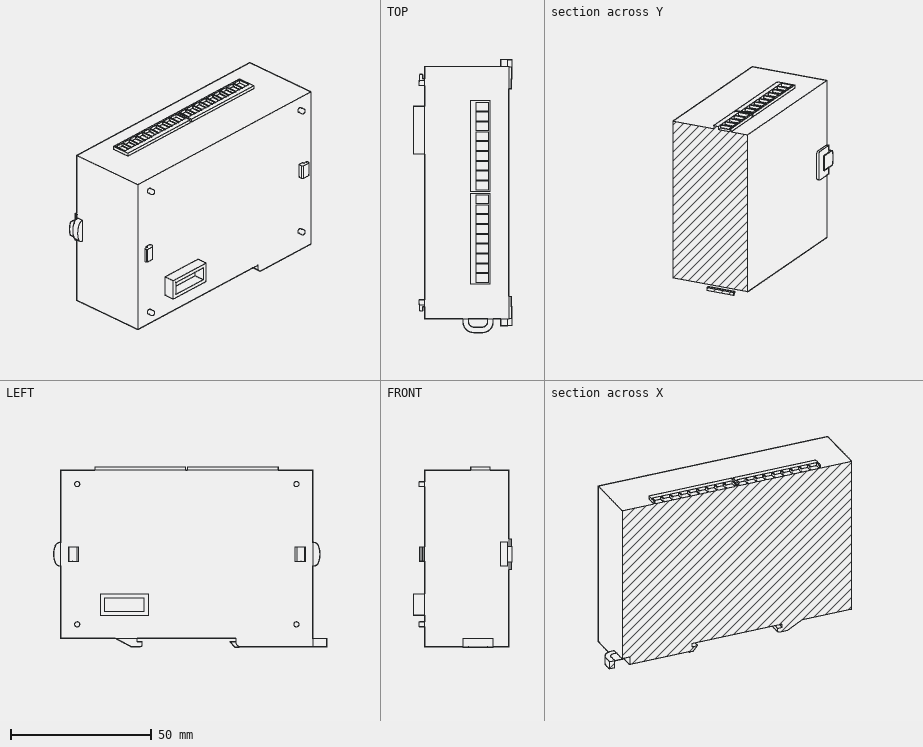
import cadquery as cq


body_x = 30.0
body_y = 89.9
body_z = 59.9
mid_y = body_y / 2
mid_z = body_z / 2
foot_length = 27.5
foot_drop = 3.0
foot_chamfer = 1.1

block_x = 16.4
block_width = 7.0
block_length = 32.35
block_height = 1.2
block_gap = 0.7
block_start = 12.4
cell_count = 9
cell_pitch = 3.5
cell_width = 4.4
cell_length = 3.1
cell_wall_x = 0.7

port_y = 58.7
port_z = 8.2
port_length = 17.15
port_height = 7.6
port_reach = 4.0
port_cavity_length = 14.1
port_cavity_height = 4.9

peg_diameter = 1.9
peg_reach = 2.0
peg_round = 0.4
peg_spacing_y = 78.1
peg_spacing_z = 50.0

clip_tip_y = 2.7
clip_length = 3.6
clip_leg = 2.0
clip_reach = 1.9
clip_gap = 0.6
clip_height = 5.2
clip_bevel = 0.6
clip_tip_bevel = 0.3

latch_reach = 2.5
latch_half_height = 4.3
latch_bulge = 0.6
latch_shoulder_half = 3.0
latch_x = 27.1
latch_width = 2.4
tongue_half_height = 2.8
tongue_reach_x = 1.2
tongue_length = 4.4
tongue_setback = 0.05
tongue_round = 0.5
slide_thickness = 0.9
slide_start = 0.2
slide_end = 8.0
slide_height = 10.9
slide_round = 0.9

eyelet_x = 13.6
eyelet_width = 10.8
eyelet_reach = 5.0
eyelet_radius = 3.9
eyelet_wall = 2.0
hook_lip_z = -1.2
fixed_hook_reach = 2.1
fixed_hook_drop = 3.2
fixed_hook_toe = 0.4
fixed_hook_sole = 1.5
sprung_hook_tip_y = 60.9
sprung_hook_neck_y = 62.7
sprung_hook_sole_y = 64.8
sprung_hook_root_y = 70.5
sprung_hook_round = 0.7

overlap = 0.5


def box(x0, x1, y0, y1, z0, z1):
    """Block given by its limits along each axis."""
    return cq.Workplane("XY").box(x1 - x0, y1 - y0, z1 - z0, centered=False).translate((x0, y0, z0))


def both_ends(feature):
    """The front feature together with its mirror image at the back."""
    return [feature, feature.mirror("XZ", (0, mid_y, 0))]


def make_housing():
    outline = [
        (0, body_z),
        (body_y, body_z),
        (body_y, 0),
        (foot_length, 0),
        (foot_length, foot_chamfer - foot_drop),
        (foot_length - foot_chamfer, -foot_drop),
        (0, -foot_drop),
    ]
    return cq.Workplane("YZ").polyline(outline).close().extrude(body_x)


def make_terminal_block(y0):
    """Raised strip whose row of cells is open down to the housing top."""
    block_end_x = block_x + block_width
    top = body_z + block_height
    block = box(block_x, block_end_x, y0, y0 + block_length, body_z, top)
    cells_y = y0 + (block_length - (cell_count - 1) * cell_pitch - cell_length) / 2
    cell_end_x = block_end_x - cell_wall_x
    for index in range(cell_count):
        cell_y = cells_y + index * cell_pitch
        cell = box(cell_end_x - cell_width, cell_end_x, cell_y, cell_y + cell_length, body_z, top)
        block = block.cut(cell)
    return block


def make_port():
    """Rectangular frame whose opening runs in to the housing wall."""
    shell = box(-port_reach, 0, port_y, port_y + port_length, port_z, port_z + port_height)
    opening = shell.faces("<X").workplane(centerOption="CenterOfMass")
    return opening.rect(port_cavity_length, port_cavity_height).cutBlind(-port_reach)


def make_pegs():
    pegs = (
        cq.Workplane("YZ", origin=(0, mid_y, mid_z))
        .rect(peg_spacing_y, peg_spacing_z, forConstruction=True)
        .vertices()
        .circle(peg_diameter / 2)
        .extrude(-peg_reach)
    )
    return pegs.faces("<X").edges().fillet(peg_round)


def make_clip():
    """L-shaped clip: a leg on the wall with a finger pointing to the nearer end wall."""
    inner_y = clip_tip_y + clip_length
    leg_y = inner_y - clip_leg
    outline = [
        (0, inner_y),
        (clip_bevel - clip_reach, inner_y),
        (-clip_reach, inner_y - clip_bevel),
        (-clip_reach, clip_tip_y + clip_tip_bevel),
        (clip_tip_bevel - clip_reach, clip_tip_y),
        (-clip_gap - clip_tip_bevel, clip_tip_y),
        (-clip_gap, clip_tip_y + clip_tip_bevel),
        (-clip_gap, leg_y),
        (0, leg_y),
    ]
    base = cq.Workplane("XY", origin=(0, 0, mid_z - clip_height / 2))
    return base.polyline(outline).close().extrude(clip_height)


def make_latch():
    """Rounded thumb pad on the end wall, with a tongue and a slide plate over the +X wall."""
    shoulder_y = latch_bulge - latch_reach
    bulge_radius = (latch_shoulder_half**2 + latch_bulge**2) / (2 * latch_bulge)
    tongue_end_x = body_x + tongue_reach_x
    upper_half = (
        cq.Workplane("YZ", origin=(latch_x, 0, mid_z))
        .moveTo(overlap, 0)
        .lineTo(-latch_reach, 0)
        .radiusArc((shoulder_y, latch_shoulder_half), bulge_radius)
        .tangentArcPoint((0, latch_half_height), relative=False)
        .lineTo(overlap, latch_half_height)
        .close()
        .extrude(tongue_end_x - latch_x)
    )
    full_pad = upper_half.union(upper_half.mirror("XY", (0, 0, mid_z))).clean()
    pad_end_x = latch_x + latch_width
    tongue_z0 = mid_z - tongue_half_height
    tongue_z1 = mid_z + tongue_half_height
    pad = full_pad.intersect(box(latch_x, pad_end_x, -latch_reach, overlap, 0, body_z))
    tongue_blank = box(pad_end_x, tongue_end_x, -latch_reach, overlap, tongue_z0, tongue_z1)
    tongue_tip = full_pad.translate((0, tongue_setback, 0)).intersect(tongue_blank)
    tip_corners = cq.selectors.BoxSelector(
        (pad_end_x, -latch_reach, tongue_z0 - overlap),
        (tongue_end_x, -overlap, tongue_z1 + overlap),
    )
    tongue_tip = tongue_tip.edges("|X").edges(tip_corners).fillet(tongue_round)
    tongue = box(body_x, tongue_end_x, 0, tongue_length, tongue_z0, tongue_z1)
    slide = box(
        body_x,
        body_x + slide_thickness,
        slide_start,
        slide_end,
        mid_z - slide_height / 2,
        mid_z + slide_height / 2,
    )
    slide = slide.faces(">Y").edges("|X").fillet(slide_round)
    return pad.union(tongue_tip).union(tongue).union(slide)


def make_eyelet():
    loop = box(eyelet_x, eyelet_x + eyelet_width, -eyelet_reach, overlap, -foot_drop, 0)
    return loop.faces("<Y").edges("|Z").fillet(eyelet_radius)


def make_eyelet_opening():
    """Opening of the eyelet, continued by the same length into the rail foot."""
    opening_length = eyelet_reach - eyelet_wall
    opening = box(
        eyelet_x + eyelet_wall,
        eyelet_x + eyelet_width - eyelet_wall,
        -opening_length,
        opening_length,
        -foot_drop,
        0,
    )
    return opening.faces("<Y").edges("|Z").fillet(eyelet_radius - eyelet_wall)


def make_fixed_hook():
    """Slanted claw standing out from the step of the rail foot."""
    toe_y = foot_length + fixed_hook_toe
    heel_y = toe_y - fixed_hook_sole
    outline = [
        (foot_length + fixed_hook_reach, hook_lip_z),
        (toe_y, -fixed_hook_drop),
        (heel_y, -fixed_hook_drop),
        (heel_y, hook_lip_z),
    ]
    base = cq.Workplane("YZ", origin=(eyelet_x, 0, 0))
    return base.polyline(outline).close().extrude(eyelet_width)


def make_sprung_hook():
    """Ramped claw under the housing, facing the fixed hook."""
    outline = [
        (sprung_hook_root_y, 0),
        (sprung_hook_sole_y, -foot_drop),
        (sprung_hook_tip_y, -foot_drop),
        (sprung_hook_tip_y, hook_lip_z),
        (sprung_hook_neck_y, hook_lip_z),
        (sprung_hook_neck_y, 0),
    ]
    hook = cq.Workplane("YZ", origin=(eyelet_x, 0, 0)).polyline(outline).close().extrude(eyelet_width)
    return hook.edges("|X and <Y and <Z").fillet(sprung_hook_round)


features = [
    make_terminal_block(block_start),
    make_terminal_block(block_start + block_length + block_gap),
    make_port(),
    make_pegs(),
    *both_ends(make_clip()),
    *both_ends(make_latch()),
    make_eyelet(),
    make_fixed_hook(),
    make_sprung_hook(),
]

result = make_housing()
for feature in features:
    result = result.union(feature)
result = result.cut(make_eyelet_opening())